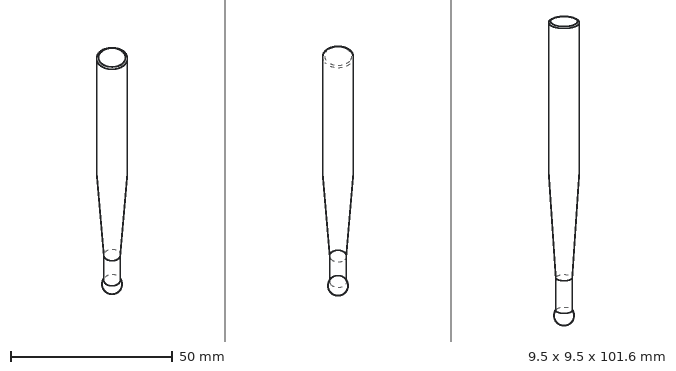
import cadquery as cq
import math

total_length = 101.6
shank_diameter = 9.5
taper_top_z = 51.0
joint_z = 15.8
neck_diameter = 5.2
ball_diameter = 6.3
chamfer_width = 0.6
chamfer_height = 0.4

shank_radius = shank_diameter / 2
neck_radius = neck_diameter / 2
ball_radius = ball_diameter / 2

neck_bottom_z = ball_radius + math.sqrt(ball_radius**2 - neck_radius**2)


def make_shank():
    """Round shank with a chamfered top and a long taper down to the joint."""
    return (
        cq.Workplane("XZ")
        .moveTo(0, joint_z)
        .lineTo(neck_radius, joint_z)
        .lineTo(shank_radius, taper_top_z)
        .lineTo(shank_radius, total_length - chamfer_height)
        .lineTo(shank_radius - chamfer_width, total_length)
        .lineTo(0, total_length)
        .close()
        .revolve(360, (0, 0), (0, 1))
    )


def make_ball_tip():
    """Ball with its cylindrical neck, butted against the end of the taper."""
    return (
        cq.Workplane("XZ")
        .moveTo(0, 0)
        .threePointArc((ball_radius, ball_radius), (neck_radius, neck_bottom_z))
        .lineTo(neck_radius, joint_z)
        .lineTo(0, joint_z)
        .close()
        .revolve(360, (0, 0), (0, 1))
    )


shank = make_shank()
ball_tip = make_ball_tip()

result = cq.Compound.makeCompound([shank.val(), ball_tip.val()])